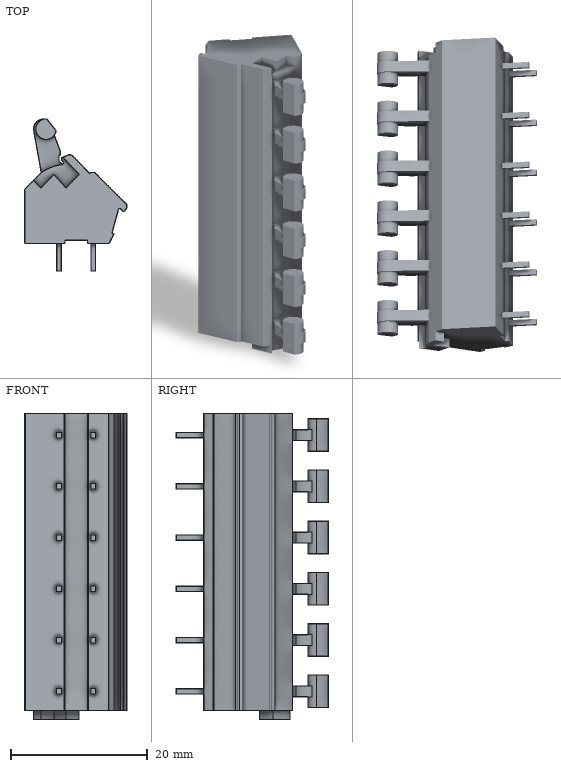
import cadquery as cq
import math

body_length = 43.5
body_width = 15.0
foot_edge = 0.15
groove_depth = 0.5
groove_start_x = 5.95
groove_end_x = 9.2
foot_end_x = 12.45
back_top_y = 8.0
back_taper_x = 0.05
back_taper_y = 0.4

tongue_height = 1.3
tongue_overlap = 1.0
recess_depth = 1.5
valley_y = 8.17
peak_y = 10.15

pole_count = 6
pole_pitch = 7.5
first_pole_z = 2.83

pin_columns_x = (5.05, 10.05)
pin_width_x = 0.7
pin_width_z = 0.8
pin_length = 4.0
pin_embedded = 1.0

lever_thickness = 1.6
lever_tip = (2.82, 16.77)
lever_tip_radius = 1.5
tip_end_angle = math.radians(-20)
lever_back_root = (2.53, 9.9)
knob_offset_x = 0.33
knob_radius = 1.5
knob_length = 4.8
flat_angle = math.radians(38.5)
flat_distance = 1.02


def make_body():
    outline = (
        cq.Workplane("XY")
        .moveTo(0, foot_edge)
        .lineTo(foot_edge, 0)
        .lineTo(groove_start_x - foot_edge, 0)
        .lineTo(groove_start_x, foot_edge)
        .lineTo(groove_start_x, groove_depth)
        .lineTo(groove_end_x, groove_depth)
        .lineTo(groove_end_x, foot_edge)
        .lineTo(groove_end_x + foot_edge, 0)
        .lineTo(foot_end_x - foot_edge, 0)
        .lineTo(foot_end_x, foot_edge)
        .lineTo(13.1, 1.4)
        .lineTo(12.82, 1.57)
        .lineTo(13.8, 5.15)
        .lineTo(14.02, 5.15)
        .lineTo(14.42, 4.7)
        .lineTo(14.57, 4.7)
        .lineTo(14.83, 5.0)
        .lineTo(body_width, 5.3)
        .lineTo(body_width, 5.75)
        .lineTo(14.6, 6.1)
        .lineTo(11.0, 9.69)
        .lineTo(10.75, 9.97)
        .lineTo(10.25, 10.45)
        .lineTo(9.7, 10.45)
        .lineTo(9.55, 10.3)
        .lineTo(6.9, 13.0)
        .lineTo(6.55, 13.05)
        .lineTo(5.45, 12.6)
        .lineTo(5.42, 12.2)
        .lineTo(5.7, 11.96)
        .threePointArc((5.63, 11.68), (5.4, 11.57))
        .threePointArc((3.9, 11.18), (2.5, 10.45))
        .lineTo(back_taper_x, back_top_y)
        .lineTo(0, back_top_y - back_taper_y)
        .close()
    )
    return outline.extrude(body_length)


def make_interlock(bottom_z, height):
    """Block over the double-V region, reaching past the housing outline."""
    region = [
        (0.4, peak_y),
        (2.4, valley_y),
        (4.3, peak_y),
        (6.07, valley_y),
        (8.0, peak_y),
        (4.7, 13.6),
    ]
    return cq.Workplane("XY").workplane(offset=bottom_z).polyline(region).close().extrude(height)


def make_tongue(body):
    """Interlock region trimmed to the housing outline, below the lower end face."""
    height = tongue_height + tongue_overlap
    shifted_body = body.translate((0, 0, -body_length / 2))
    return shifted_body.intersect(make_interlock(-tongue_height, height))


def make_lever(centre_z):
    tip_x, tip_y = lever_tip
    root_x, root_y = lever_back_root
    to_root = math.atan2(root_y - tip_y, root_x - tip_x)
    distance = math.hypot(root_x - tip_x, root_y - tip_y)
    tangent = to_root - math.acos(lever_tip_radius / distance)

    def on_tip(angle):
        return (
            tip_x + lever_tip_radius * math.cos(angle),
            tip_y + lever_tip_radius * math.sin(angle),
        )

    arm = (
        cq.Workplane("XY")
        .workplane(offset=centre_z - lever_thickness / 2)
        .moveTo(*lever_back_root)
        .lineTo(*on_tip(tangent))
        .threePointArc(on_tip(math.pi / 2), on_tip(tip_end_angle))
        .lineTo(5.25, 13.55)
        .lineTo(5.25, 13.0)
        .lineTo(5.08, 12.9)
        .lineTo(5.08, 12.05)
        .lineTo(5.5, 11.65)
        .lineTo(5.5, 10.8)
        .close()
        .extrude(lever_thickness)
    )
    knob_x = tip_x + knob_offset_x
    knob = (
        cq.Workplane("XY")
        .workplane(offset=centre_z - knob_length / 2)
        .center(knob_x, tip_y)
        .circle(knob_radius)
        .extrude(knob_length)
    )
    cutter_size = 2 * knob_radius
    flat_cutter = (
        cq.Workplane("XY")
        .box(cutter_size, cutter_size, 2 * knob_length)
        .translate((flat_distance + cutter_size / 2, 0, 0))
        .rotate((0, 0, 0), (0, 0, 1), math.degrees(flat_angle))
        .translate((knob_x, tip_y, centre_z))
    )
    return arm.union(knob).cut(flat_cutter)


def make_pin(centre_x, centre_z):
    length = pin_length + pin_embedded
    return (
        cq.Workplane("XY")
        .box(pin_width_x, length, pin_width_z)
        .translate((centre_x, pin_embedded - length / 2, centre_z))
    )


body = make_body()
result = body.cut(make_interlock(body_length - recess_depth, 2 * recess_depth))
result = result.union(make_tongue(body))
for pole in range(pole_count):
    pole_z = first_pole_z + pole * pole_pitch
    result = result.union(make_lever(pole_z))
    for pin_x in pin_columns_x:
        result = result.union(make_pin(pin_x, pole_z))